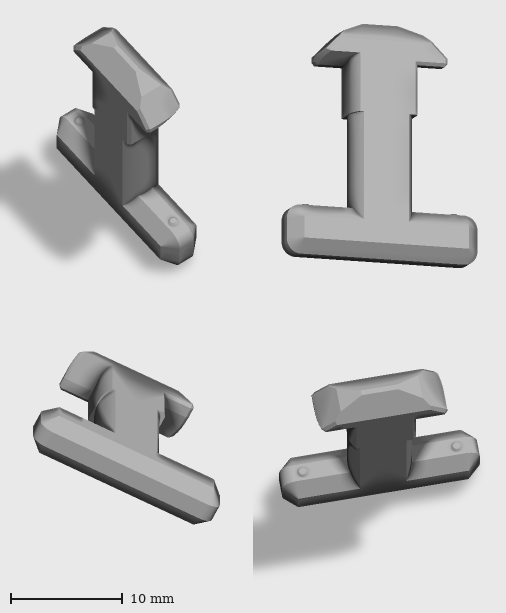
import cadquery as cq
import math

height = 21.55
thickness = 4.0
half_t = thickness / 2
edge_chamfer = 0.28

bar_length = 18.0
bar_height = 4.5
bar_corner_radius = 1.3
bar_chamfer = 1.23

pip_spacing = 14.0
pip_base_radius = 0.5
pip_top_radius = 0.3
pip_height = 0.2

stem_radius = 2.9
neck_bottom = 13.17
neck_half_width = 3.02
neck_arc_radius = 2.2
neck_arc_start = 0.52

head_radius = 5.86
head_bottom = 17.78
ridge_half_length = 1.65
ridge_half_width = 0.24
shoulder_x = 3.73
shoulder_z = 20.67
ramp_start = 0.75
ramp_angle = 15.0
ramp_top = head_bottom + (ramp_start + half_t) * math.tan(math.radians(ramp_angle))

reach = 0.22


def make_bar():
    blank = cq.Workplane("XY").box(bar_length, thickness, bar_height, centered=(True, True, False))
    rounded = blank.edges("|Y").fillet(bar_corner_radius)
    return rounded.faces("<Y or >Y").chamfer(bar_chamfer)


def make_pips():
    pip_taper = math.degrees(math.atan((pip_base_radius - pip_top_radius) / pip_height))
    return (
        cq.Workplane("XY", origin=(0, 0, bar_height))
        .pushPoints([(-pip_spacing / 2, 0), (pip_spacing / 2, 0)])
        .circle(pip_base_radius)
        .extrude(pip_height, taper=pip_taper)
    )


def make_stem():
    slab_base = bar_height / 2
    slab_height = neck_bottom - slab_base
    column = cq.Workplane("XY", origin=(0, 0, slab_base)).circle(stem_radius).extrude(slab_height)
    slab = cq.Workplane("XY", origin=(0, 0, slab_base)).box(
        2 * stem_radius, thickness, slab_height, centered=(True, True, False)
    )
    return column.intersect(slab)


def neck_arc_point(y):
    """Point on the rounded -X side of the neck at the given y."""
    centre_x = -neck_half_width + neck_arc_radius
    return (centre_x - math.sqrt(neck_arc_radius**2 - (y + neck_arc_start) ** 2), y)


def make_half_neck():
    """The -X half: chamfered towards +Y and rounded towards -Y."""
    neck_top = ramp_top + reach
    return (
        cq.Workplane("XY", origin=(0, 0, neck_bottom))
        .moveTo(0, half_t)
        .lineTo(-neck_half_width + edge_chamfer, half_t)
        .lineTo(-neck_half_width, half_t - edge_chamfer)
        .lineTo(-neck_half_width, -neck_arc_start)
        .threePointArc(neck_arc_point(-(neck_arc_start + half_t) / 2), neck_arc_point(-half_t))
        .lineTo(0, -half_t)
        .close()
        .extrude(neck_top - neck_bottom)
    )


def edges_within(x_range, y_range, z_range):
    """Selector for edges whose centre lies in the given ranges."""
    low_corner, high_corner = zip(x_range, y_range, z_range)
    return cq.selectors.BoxSelector(low_corner, high_corner)


def make_half_head():
    """The -X half: square end towards +Y, round end and rising underside towards -Y."""
    end_top = shoulder_z - (head_radius - shoulder_x)
    front = (
        cq.Workplane("XZ", origin=(0, half_t, 0))
        .polyline([
            (0, head_bottom),
            (-head_radius, head_bottom),
            (-head_radius, end_top),
            (-shoulder_x, shoulder_z),
            (-ridge_half_length, height),
            (0, height),
        ])
        .close()
        .extrude(thickness)
    )

    arc_angle = math.asin(half_t / head_radius)
    plan = (
        cq.Workplane("XY", origin=(0, 0, head_bottom))
        .moveTo(0, half_t)
        .lineTo(-head_radius, half_t)
        .lineTo(-head_radius, 0)
        .threePointArc(
            (-head_radius * math.cos(arc_angle / 2), -head_radius * math.sin(arc_angle / 2)),
            (-head_radius * math.cos(arc_angle), -half_t),
        )
        .lineTo(0, -half_t)
        .close()
        .extrude(height - head_bottom)
    )

    underside = (
        cq.Workplane("YZ")
        .polyline([
            (half_t, height),
            (half_t, head_bottom),
            (ramp_start, head_bottom),
            (-half_t, ramp_top),
            (-half_t, height),
        ])
        .close()
        .extrude(-head_radius)
    )
    block = front.intersect(plan).intersect(underside)

    end_x = (-head_radius - reach, -shoulder_x)
    square_side_y = (half_t - reach, half_t + reach)
    round_side_y = (-half_t - reach, -half_t + reach)
    slope_sides = cq.selectors.ParallelDirSelector(cq.Vector(1, 0, 1))
    long_lower_edge = edges_within((-head_radius, 0), square_side_y, (0, head_bottom + reach))
    end_lower_edges = edges_within(end_x, (-thickness, thickness), (0, ramp_top - reach))
    square_upright = edges_within(end_x, square_side_y, (0, end_top))
    round_upright = edges_within(end_x, round_side_y, (ramp_top, shoulder_z))
    broken_edges = slope_sides + long_lower_edge + end_lower_edges + square_upright + round_upright
    block = block.edges(broken_edges).chamfer(edge_chamfer)

    roof_eave = height - (half_t - ridge_half_width)
    roof = (
        cq.Workplane("YZ")
        .polyline([
            (-half_t, head_bottom),
            (-half_t, roof_eave),
            (-ridge_half_width, height),
            (ridge_half_width, height),
            (half_t, roof_eave),
            (half_t, head_bottom),
        ])
        .close()
        .extrude(-head_radius)
    )
    return block.intersect(roof)


half_top = make_half_neck().union(make_half_head())
other_half_top = half_top.rotate((0, 0, 0), (0, 0, 1), 180)
result = make_bar().union(make_pips()).union(make_stem()).union(half_top).union(other_half_top).clean()